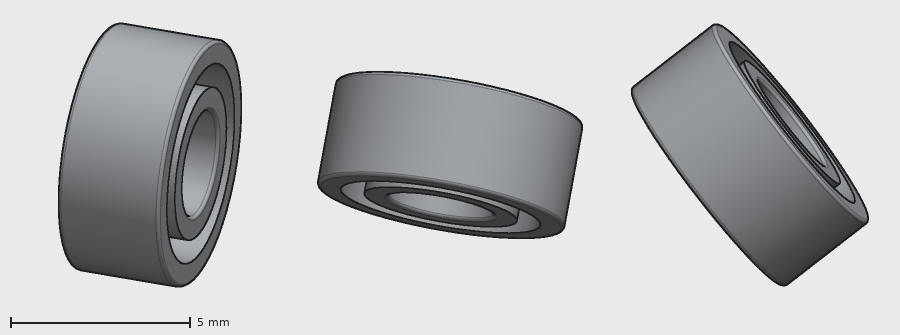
import cadquery as cq

outer_diameter = 7.0
bore_diameter = 3.0
width = 3.0
outer_ring_inner_diameter = 5.67
inner_ring_outer_diameter = 4.33
edge_radius = 0.1


def ring(outside_diameter, inside_diameter):
    """Plain ring along X, centred on the origin."""
    return (
        cq.Workplane("YZ", origin=(-width / 2, 0, 0))
        .circle(outside_diameter / 2)
        .circle(inside_diameter / 2)
        .extrude(width)
    )


def make_outer_ring():
    """Outer ring with its outside edges rounded."""
    body = ring(outer_diameter, outer_ring_inner_diameter)
    return body.faces("<X or >X").edges(cq.selectors.RadiusNthSelector(-1)).fillet(edge_radius)


def make_inner_ring():
    """Inner ring with its bore edges rounded."""
    body = ring(inner_ring_outer_diameter, bore_diameter)
    return body.faces("<X or >X").edges(cq.selectors.RadiusNthSelector(0)).fillet(edge_radius)


outer_ring = make_outer_ring()
inner_ring = make_inner_ring()

result = cq.Compound.makeCompound([outer_ring.val(), inner_ring.val()])